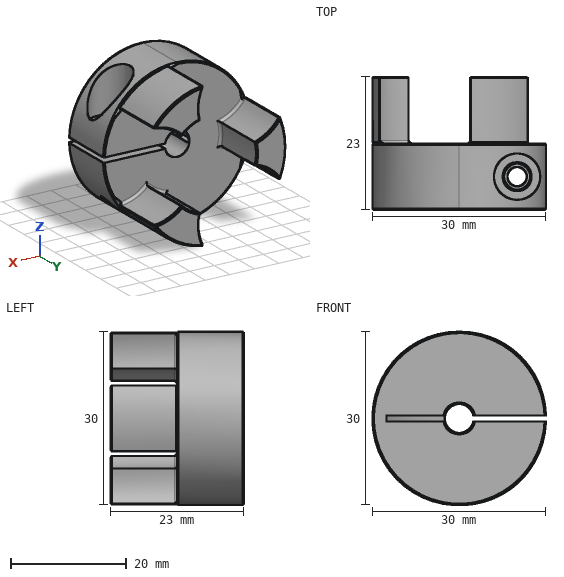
import cadquery as cq
import math


TOLERANCE = 1e-4

HUB_RADIUS = 15.0
HUB_LENGTH = 11.5
TOTAL_LENGTH = 23.0
EDGE_CHAMFER = 0.25
BORE_DIAMETER = 5.0

JAW_COUNT = 3
JAW_SPACING = 360.0 / JAW_COUNT
FIRST_JAW_ANGLE = 180.0
JAW_INNER_RADIUS = 9.0
JAW_ROOT_FILLET = 0.5
GAP_CENTER_RADIUS = 12.5
GAP_RADIUS = 9.0

SLIT_WIDTH = 1.0
SLIT_FLOOR_RADIUS = 28.0
SLIT_CENTER_X = 12.5
SLIT_CENTER_Y = -12.5

SCREW_X = 10.0
SCREW_Y = HUB_LENGTH / 2
SCREW_HEAD_DIAMETER = 8.0
SCREW_HEAD_SEAT_Z = 4.0
CLEARANCE_DIAMETER = 4.5
TAPPED_DIAMETER = 3.3


def cylinder_along_y(radius, y_start, y_end, x=0.0, z=0.0):
    """Solid cylinder parallel to Y."""
    axis = cq.Vector(0, 1, 0)
    return cq.Workplane(cq.Solid.makeCylinder(radius, y_end - y_start, cq.Vector(x, y_start, z), axis))


def cylinder_along_z(diameter, z_start, z_end):
    """Solid cylinder on the clamping screw axis."""
    base = cq.Vector(SCREW_X, SCREW_Y, z_start)
    return cq.Workplane(cq.Solid.makeCylinder(diameter / 2, z_end - z_start, base, cq.Vector(0, 0, 1)))


def rotate_about_y(shape, angle):
    """Turn from +X toward +Z."""
    return shape.rotate((0, 0, 0), (0, 1, 0), -angle)


def make_jaw():
    """One jaw on the +X side, between two rounded gaps, with its edges chamfered."""
    jaw = cylinder_along_y(HUB_RADIUS, HUB_LENGTH, TOTAL_LENGTH)
    jaw = jaw.cut(cylinder_along_y(JAW_INNER_RADIUS, HUB_LENGTH, TOTAL_LENGTH))
    for side in (1, -1):
        gap_angle = math.radians(side * JAW_SPACING / 2)
        gap_x = GAP_CENTER_RADIUS * math.cos(gap_angle)
        gap_z = GAP_CENTER_RADIUS * math.sin(gap_angle)
        jaw = jaw.cut(cylinder_along_y(GAP_RADIUS, HUB_LENGTH, TOTAL_LENGTH, gap_x, gap_z))
    jaw = jaw.solids(">X")
    mid_radius = (JAW_INNER_RADIUS + HUB_RADIUS) / 2
    outer_edges = jaw.edges("|Y").filter(lambda edge: edge.Center().x > mid_radius)
    end_edges = jaw.faces(">Y").edges()
    return cq.Workplane(jaw.val().chamfer(EDGE_CHAMFER, None, outer_edges.vals() + end_edges.vals()))


def is_jaw_root(edge):
    """True for the edges where the jaw sides and inner faces rise from the hub."""
    middle = edge.positionAt(0.5)
    on_hub_end = edge.BoundingBox().ylen < TOLERANCE and abs(middle.y - HUB_LENGTH) < TOLERANCE
    return on_hub_end and math.hypot(middle.x, middle.z) < HUB_RADIUS - EDGE_CHAMFER


def make_hub_with_jaws():
    hub = cylinder_along_y(HUB_RADIUS, 0, HUB_LENGTH)
    hub = hub.faces("<Y").edges().chamfer(EDGE_CHAMFER)
    jaw = make_jaw()
    for index in range(JAW_COUNT):
        hub = hub.union(rotate_about_y(jaw, FIRST_JAW_ANGLE + index * JAW_SPACING))
    return hub.edges().filter(is_jaw_root).fillet(JAW_ROOT_FILLET)


def make_rim_groove():
    """V-shaped ring that bevels the hub rim and the outer foot of each jaw."""
    profile = [
        (HUB_RADIUS - EDGE_CHAMFER, HUB_LENGTH),
        (HUB_RADIUS + EDGE_CHAMFER, HUB_LENGTH + 2 * EDGE_CHAMFER),
        (HUB_RADIUS + EDGE_CHAMFER, HUB_LENGTH - 2 * EDGE_CHAMFER),
    ]
    return cq.Workplane("XY").polyline(profile).close().revolve(360, (0, 0, 0), (0, 1, 0))


def make_bore():
    """Through bore, bevelled at the clamp face."""
    bore = cylinder_along_y(BORE_DIAMETER / 2, 0, HUB_LENGTH)
    mouth = cq.Solid.makeCone(
        BORE_DIAMETER / 2 + EDGE_CHAMFER,
        BORE_DIAMETER / 2,
        EDGE_CHAMFER,
        cq.Vector(0, 0, 0),
        cq.Vector(0, 1, 0),
    )
    return bore.union(cq.Workplane(mouth))


def make_slit():
    """Slit with a round floor, open on the +X side, that deepens from the -X end."""
    return (
        cq.Workplane("XY")
        .center(SLIT_CENTER_X, SLIT_CENTER_Y)
        .circle(SLIT_FLOOR_RADIUS)
        .extrude(SLIT_WIDTH / 2, both=True)
    )


def make_screw_hole():
    """Head recess and clearance hole above the slit, tapped hole below it."""
    recess = cylinder_along_z(SCREW_HEAD_DIAMETER, SCREW_HEAD_SEAT_Z, HUB_RADIUS)
    clearance = cylinder_along_z(CLEARANCE_DIAMETER, 0, HUB_RADIUS)
    tapped = cylinder_along_z(TAPPED_DIAMETER, -HUB_RADIUS, 0)
    seat_bevel = cq.Solid.makeCone(
        CLEARANCE_DIAMETER / 2,
        CLEARANCE_DIAMETER / 2 + EDGE_CHAMFER,
        EDGE_CHAMFER,
        cq.Vector(SCREW_X, SCREW_Y, SCREW_HEAD_SEAT_Z - EDGE_CHAMFER),
        cq.Vector(0, 0, 1),
    )
    return recess.union(clearance).union(tapped).union(cq.Workplane(seat_bevel))


result = (
    make_hub_with_jaws()
    .cut(make_rim_groove())
    .cut(make_bore())
    .cut(make_slit())
    .cut(make_screw_hole())
)